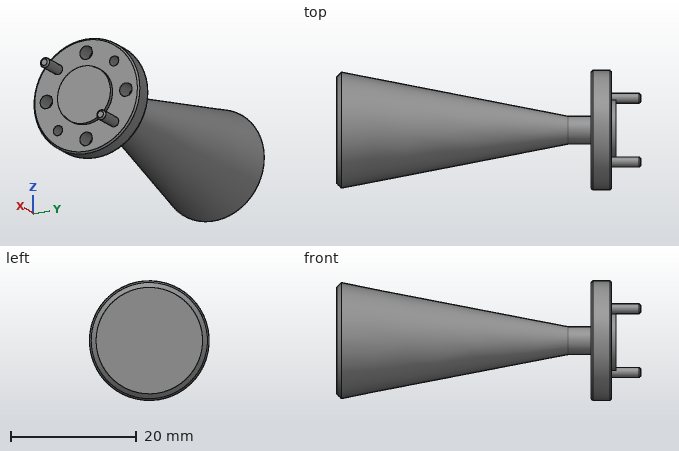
import cadquery as cq
import math

overall_length = 48.3
mouth_x = -overall_length / 2
pin_tip_x = overall_length / 2
mouth_chamfer_length = 0.75
neck_x = mouth_x + 36.75
flange_front_x = mouth_x + 40.4
flange_thickness = 3.3
flange_back_x = flange_front_x + flange_thickness
boss_height = 0.72

mouth_face_diameter = 16.9
mouth_diameter = 18.45
neck_diameter = 4.45

flange_diameter = 19.05
flange_chamfer = 0.3
boss_diameter = 9.5

pitch_radius = 7.15
screw_hole_diameter = 2.2
screw_hole_angles = (0, 90, 180, 270)
pin_diameter = 1.65
pin_tip_chamfer = 0.3
pin_angles = (135, 315)
alignment_hole_diameter = 1.65
alignment_hole_angles = (45, 225)


def pitch_point(angle):
    """Point (Y, Z) on the pitch circle, with the angle measured from +Y."""
    radians = math.radians(angle)
    return pitch_radius * math.cos(radians), pitch_radius * math.sin(radians)


def rod(diameter, start_x, end_x, center=(0, 0)):
    """Cylinder along X between two positions."""
    return (
        cq.Workplane("YZ", origin=(start_x, 0, 0))
        .center(*center)
        .circle(diameter / 2)
        .extrude(end_x - start_x)
    )


def make_horn_cone():
    """Tapered horn and its straight neck, revolved about X."""
    return (
        cq.Workplane("XY")
        .moveTo(mouth_x, 0)
        .lineTo(mouth_x, mouth_face_diameter / 2)
        .lineTo(mouth_x + mouth_chamfer_length, mouth_diameter / 2)
        .lineTo(neck_x, neck_diameter / 2)
        .lineTo(flange_front_x, neck_diameter / 2)
        .lineTo(flange_front_x, 0)
        .close()
        .revolve(360, (0, 0, 0), (1, 0, 0))
    )


def make_flange():
    """Chamfered disc with a raised boss on its back face and a ring of holes."""
    disc = rod(flange_diameter, flange_front_x, flange_back_x).edges().chamfer(flange_chamfer)
    flange = disc.union(rod(boss_diameter, flange_back_x, flange_back_x + boss_height))
    hole_patterns = (
        (screw_hole_diameter, screw_hole_angles),
        (alignment_hole_diameter, alignment_hole_angles),
        (pin_diameter, pin_angles),
    )
    for diameter, angles in hole_patterns:
        for angle in angles:
            flange = flange.cut(rod(diameter, flange_front_x, flange_back_x, pitch_point(angle)))
    return flange


def make_pin(angle):
    """Dowel pin flush with the flange front face, with a chamfered tip."""
    pin = rod(pin_diameter, flange_front_x, pin_tip_x, pitch_point(angle))
    return pin.faces(">X").chamfer(pin_tip_chamfer)


horn = make_horn_cone().union(make_flange())
pins = [make_pin(angle) for angle in pin_angles]

result = cq.Compound.makeCompound([horn.val(), *[pin.val() for pin in pins]])